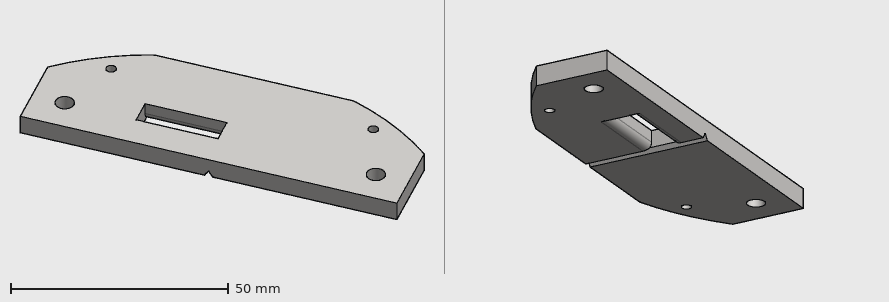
import cadquery as cq

length = 92.0
width = 31.0
thickness = 5.0
side_height = 18.7
top_flat_length = 48.8
corner_bulge = 1.2

mount_hole_diameter = 4.4
mount_hole_spacing = 76.0
mount_hole_y = 8.0
pin_hole_diameter = 2.4
pin_hole_spacing = 64.0
pin_hole_y = 23.0
window_length = 20.0
window_width = 6.1
window_x = -10.5
window_y = 10.9

window_edge_radius = 2.0

groove_width = 2.0
groove_depth = 1.5

half_length = length / 2
half_flat = top_flat_length / 2

chord_x = half_length - half_flat
chord_y = width - side_height
chord = (chord_x**2 + chord_y**2) ** 0.5
arc_mid_x = (half_length + half_flat) / 2 + corner_bulge * chord_y / chord
arc_mid_y = (side_height + width) / 2 + corner_bulge * chord_x / chord

plate = (
    cq.Workplane("XY")
    .moveTo(-half_length, 0)
    .lineTo(half_length, 0)
    .lineTo(half_length, side_height)
    .threePointArc((arc_mid_x, arc_mid_y), (half_flat, width))
    .lineTo(-half_flat, width)
    .threePointArc((-arc_mid_x, arc_mid_y), (-half_length, side_height))
    .close()
    .extrude(thickness)
)


def hole_pair(diameter, spacing, y):
    """Two through holes placed symmetrically about X = 0."""
    centres = [(-spacing / 2, y), (spacing / 2, y)]
    return cq.Workplane("XY").pushPoints(centres).circle(diameter / 2).extrude(thickness)


window = (
    cq.Workplane("XY")
    .center(window_x, window_y)
    .rect(window_length, window_width)
    .extrude(thickness)
)

groove = (
    cq.Workplane("XZ")
    .polyline([(-groove_width / 2, 0), (groove_width / 2, 0), (0, groove_depth)])
    .close()
    .extrude(-width)
)

window_front_edge = cq.selectors.NearestToPointSelector((window_x, window_y - window_width / 2, 0))
window_rear_edge = cq.selectors.NearestToPointSelector((window_x, window_y + window_width / 2, 0))

result = (
    plate
    .cut(hole_pair(mount_hole_diameter, mount_hole_spacing, mount_hole_y))
    .cut(hole_pair(pin_hole_diameter, pin_hole_spacing, pin_hole_y))
    .cut(window)
    .edges(window_front_edge + window_rear_edge)
    .fillet(window_edge_radius)
    .cut(groove)
)